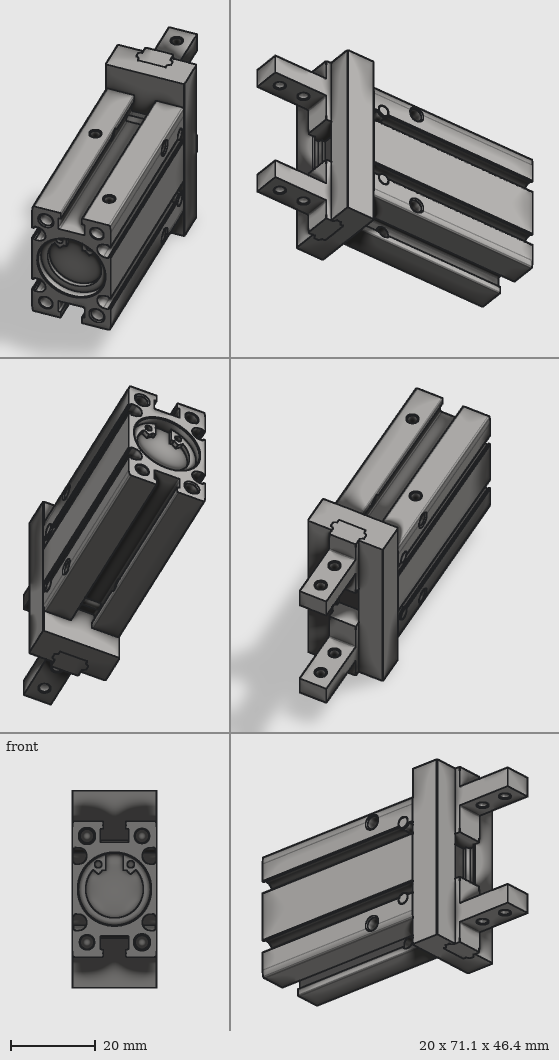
import cadquery as cq
import math


WIDTH = 20.0
BODY_HEIGHT = 32.0
BODY_LENGTH = 46.85
SIDE_FLAT_HALF_HEIGHT = 14.1
SIDE_CURVE_INSET = 0.3
EDGE_RADIUS = 0.4

SLOT_NECK_WIDTH = 5.3
SLOT_WIDTH = 6.7
SLOT_NECK_DEPTH = 1.8
SLOT_DEPTH = 5.0
SLOT_CORNER_RADIUS = 0.35
SLOT_MOUTH_RADIUS = 0.3

GROOVE_HEIGHT = 4.0
GROOVE_FLOOR_X = 6.55
GROOVE_FLARE_X = 8.0
GROOVE_FLARE_HEIGHT = 3.8
GROOVE_Z = 7.8
GROOVE_LIP_THICKNESS = 0.4
GROOVE_LIP_CHAMFER = 0.35
GROOVE_MOUTH_HEIGHT = 3.0
GROOVE_MOUTH_CHAMFER = 0.15

BORE_DIAMETER = 17.0
BORE_CHAMFER = 0.2
RING_INNER_DIAMETER = 13.6
RING_SETBACK = 2.0
RING_THICKNESS = 1.2
RING_GAP_WIDTH = 4.05
LUG_SHOULDER_X = 2.8
LUG_BOTTOM_Z = 4.5
LUG_TIP_X = 3.8
LUG_TIP_Z = 3.5
LUG_ROOT_ANGLE = 42.0
LUG_HOLE_X = 3.85
LUG_HOLE_Z = 5.8
LUG_HOLE_DIAMETER = 1.7

REAR_HOLE_X = 6.5
REAR_HOLE_Z = 12.5
REAR_HOLE_DEPTH = 6.4
THREAD_DIAMETER = 3.3
THREAD_MOUTH_DIAMETER = 4.0
LOCATING_DIAMETER = 3.3
LOCATING_MOUTH_DIAMETER = 3.55
CROSS_HOLE_Y = 34.3
CROSS_HOLE_Z = 13.45
PORT_X = 6.0
PORT_REAR_Y = 9.1
PORT_FRONT_Y = 30.3
PORT_DEPTH = 5.0
SMALL_THREAD_DIAMETER = 2.5
SMALL_THREAD_MOUTH_DIAMETER = 3.0

PIN_DIAMETER = 3.0
PIN_Y = 44.0
PIN_Z = 10.0
PIN_TAPER_LENGTH = 0.4
PIN_TAPER_DEPTH = 0.15

PLATE_THICKNESS = 7.8
PLATE_HEIGHT = 46.4
PLATE_CHAMFER = 0.2

TOTAL_LENGTH = 71.1
FINGER_WIDTH = 7.1
FINGER_THICKNESS = 5.0
FINGER_Z = 15.4
FINGER_FILLET = 0.2
FINGER_HOLE_COUNT = 2
FINGER_HOLE_PITCH = 7.0
FINGER_HOLE_END_DISTANCE = 4.0
RAIL_INNER_Z = 5.9
RAIL_PROUD = 1.4
RAIL_DEPTH = 3.6
RAIL_NOTCH = 0.2
RAIL_NOTCH_LENGTH = 0.9
WING_SPAN = 8.8
WING_DEPTH = 1.7
WING_ROOT_HEIGHT = 2.1
WING_TIP_HEIGHT = 1.1
WING_CLEARANCE = 0.1

HALF_WIDTH = WIDTH / 2
HALF_BODY_HEIGHT = BODY_HEIGHT / 2
PLATE_FRONT_Y = BODY_LENGTH + PLATE_THICKNESS
RAIL_FRONT_Y = PLATE_FRONT_Y + RAIL_PROUD
BORE_FLOOR_Y = RING_SETBACK + RING_THICKNESS

SIGNS = (-1, 1)
SELECTION_MARGIN = 0.1


def rear_plane(y=0.0):
    """Sketch plane facing +Y at the given Y, with X to the left and Z up."""
    return cq.Workplane(cq.Plane((0, y, 0), xDir=(-1, 0, 0), normal=(0, 1, 0)))


def box_between(x_range, y_range, z_range):
    size = [high - low for low, high in (x_range, y_range, z_range)]
    return cq.Workplane(cq.Solid.makeBox(*size, cq.Vector(x_range[0], y_range[0], z_range[0])))


def rod(diameter, length, start, direction):
    return cq.Workplane(
        cq.Solid.makeCylinder(diameter / 2, length, cq.Vector(*start), cq.Vector(*direction))
    )


def countersunk_hole(diameter, mouth_diameter, depth, start, direction):
    """Cutter for a hole with a 45 degree chamfer at its mouth."""
    chamfer_depth = (mouth_diameter - diameter) / 2
    mouth = cq.Solid.makeCone(
        mouth_diameter / 2, diameter / 2, chamfer_depth, cq.Vector(*start), cq.Vector(*direction)
    )
    return rod(diameter, depth, start, direction).union(cq.Workplane(mouth))


def body_extrusion():
    """Bar whose sides curve slightly inward towards the top and bottom faces."""
    end_x = HALF_WIDTH - SIDE_CURVE_INSET
    quarter = (
        rear_plane()
        .moveTo(HALF_WIDTH, 0)
        .lineTo(HALF_WIDTH, SIDE_FLAT_HALF_HEIGHT)
        .tangentArcPoint((end_x, HALF_BODY_HEIGHT), relative=False)
        .lineTo(0, HALF_BODY_HEIGHT)
        .lineTo(0, 0)
        .close()
        .extrude(BODY_LENGTH)
    )
    half = quarter.union(quarter.mirror("XY"))
    bar = half.union(half.mirror("YZ")).clean()
    return bar.faces(">Z or <Z").edges("|Y").fillet(EDGE_RADIUS)


def cut_t_slot(body, side):
    """T-slot along the top (side = 1) or bottom (side = -1) face."""
    y_range = (0, BODY_LENGTH)
    floor_z = HALF_BODY_HEIGHT - SLOT_DEPTH
    step_z = HALF_BODY_HEIGHT - SLOT_NECK_DEPTH
    undercut = box_between((-SLOT_WIDTH / 2, SLOT_WIDTH / 2), y_range, (floor_z, step_z))
    undercut = undercut.edges("|Y").fillet(SLOT_CORNER_RADIUS)
    mouth_x = SLOT_NECK_WIDTH / 2
    neck = box_between((-mouth_x, mouth_x), y_range, (floor_z, HALF_BODY_HEIGHT))
    slot = undercut.union(neck)
    if side < 0:
        slot = slot.mirror("XY")
    body = body.cut(slot)
    mouth_z = side * HALF_BODY_HEIGHT
    near_mouth = cq.selectors.BoxSelector(
        (-mouth_x - SELECTION_MARGIN, 0, mouth_z - SELECTION_MARGIN),
        (mouth_x + SELECTION_MARGIN, BODY_LENGTH, mouth_z + SELECTION_MARGIN),
    )
    return body.edges("|Y").edges(near_mouth).fillet(SLOT_MOUTH_RADIUS)


def sensor_groove(x_side, z_side):
    """Cutter for a groove with a round floor, flared walls and a narrower, chamfered mouth."""
    half_height = GROOVE_HEIGHT / 2
    flare_half = GROOVE_FLARE_HEIGHT / 2
    lip_x = HALF_WIDTH - GROOVE_LIP_THICKNESS
    chamfer_x = HALF_WIDTH - GROOVE_MOUTH_CHAMFER
    mouth_half = GROOVE_MOUTH_HEIGHT / 2
    rim_half = mouth_half + GROOVE_MOUTH_CHAMFER
    walls = [
        (lip_x - GROOVE_LIP_CHAMFER, half_height),
        (lip_x, half_height - GROOVE_LIP_CHAMFER),
        (lip_x, mouth_half),
        (chamfer_x, mouth_half),
        (HALF_WIDTH, rim_half),
    ]
    lower_walls = [(x, -z) for x, z in reversed(walls)]
    groove = (
        cq.Workplane("XZ")
        .moveTo(GROOVE_FLARE_X, -flare_half)
        .threePointArc((GROOVE_FLOOR_X, 0), (GROOVE_FLARE_X, flare_half))
    )
    for point in walls + lower_walls:
        groove = groove.lineTo(*point)
    groove = groove.close().extrude(-BODY_LENGTH).translate((0, 0, z_side * GROOVE_Z))
    if x_side < 0:
        groove = groove.mirror("YZ")
    return groove


def retaining_ring():
    """Internal retaining ring with a gap at the top and a drilled lug on each side of it."""
    ring = rear_plane(RING_SETBACK).circle(BORE_DIAMETER / 2).circle(RING_INNER_DIAMETER / 2)
    ring = ring.extrude(RING_THICKNESS)
    disc = rear_plane(RING_SETBACK).circle(BORE_DIAMETER / 2).extrude(RING_THICKNESS)
    ring_radius = RING_INNER_DIAMETER / 2
    root_angle = math.radians(LUG_ROOT_ANGLE)
    gap_x = RING_GAP_WIDTH / 2
    for side in SIGNS:
        outline = [
            (side * gap_x, LUG_BOTTOM_Z),
            (side * LUG_SHOULDER_X, LUG_BOTTOM_Z),
            (side * LUG_TIP_X, LUG_TIP_Z),
            (side * ring_radius * math.cos(root_angle), ring_radius * math.sin(root_angle)),
            (side * BORE_DIAMETER / 2, BORE_DIAMETER / 2),
            (side * gap_x, BORE_DIAMETER / 2),
        ]
        lug = rear_plane(RING_SETBACK).polyline(outline).close().extrude(RING_THICKNESS)
        ring = ring.union(lug.intersect(disc))
    gap = box_between((-gap_x, gap_x), (RING_SETBACK, BORE_FLOOR_Y), (0, BORE_DIAMETER / 2))
    ring = ring.cut(gap)
    for side in SIGNS:
        start = (side * LUG_HOLE_X, RING_SETBACK, LUG_HOLE_Z)
        ring = ring.cut(rod(LUG_HOLE_DIAMETER, RING_THICKNESS, start, (0, 1, 0)))
    return ring


def rail_bar(z_low, z_high, wing_clearance=0.0):
    """Guide rail along Z: a rectangular bar with a trapezoidal wing on each side."""
    root_half = WING_ROOT_HEIGHT / 2 + wing_clearance
    tip_half = WING_TIP_HEIGHT / 2 + wing_clearance
    half = FINGER_WIDTH / 2
    tip = WING_SPAN / 2
    wing_y = PLATE_FRONT_Y - WING_DEPTH
    right_side = [
        (half, RAIL_FRONT_Y),
        (half, wing_y + root_half),
        (tip, wing_y + tip_half),
        (tip, wing_y - tip_half),
        (half, wing_y - root_half),
        (half, PLATE_FRONT_Y - RAIL_DEPTH),
    ]
    left_side = [(-x, y) for x, y in reversed(right_side)]
    sketch = cq.Workplane("XY", origin=(0, 0, z_low)).polyline(right_side + left_side).close()
    return sketch.extrude(z_high - z_low)


def guide_plate():
    half_height = PLATE_HEIGHT / 2
    plate = box_between(
        (-HALF_WIDTH, HALF_WIDTH), (BODY_LENGTH, PLATE_FRONT_Y), (-half_height, half_height)
    )
    plate = plate.edges("|Z").chamfer(PLATE_CHAMFER)
    return plate.cut(rail_bar(-half_height, half_height, WING_CLEARANCE))


def cut_rear_bore(body):
    mouth_diameter = BORE_DIAMETER + 2 * BORE_CHAMFER
    return body.cut(
        countersunk_hole(BORE_DIAMETER, mouth_diameter, BORE_FLOOR_Y, (0, 0, 0), (0, 1, 0))
    )


def cut_rear_hole(body, x_side, z_side):
    """Threaded holes lie on one diagonal of the rear face and locating holes on the other."""
    if x_side == z_side:
        diameter, mouth_diameter = LOCATING_DIAMETER, LOCATING_MOUTH_DIAMETER
    else:
        diameter, mouth_diameter = THREAD_DIAMETER, THREAD_MOUTH_DIAMETER
    start = (x_side * REAR_HOLE_X, 0, z_side * REAR_HOLE_Z)
    return body.cut(countersunk_hole(diameter, mouth_diameter, REAR_HOLE_DEPTH, start, (0, 1, 0)))


def cut_cross_hole(body, x_side, z_side):
    """Half of a hole through the full width, from one side to the middle."""
    start = (x_side * HALF_WIDTH, CROSS_HOLE_Y, z_side * CROSS_HOLE_Z)
    direction = (-x_side, 0, 0)
    return body.cut(
        countersunk_hole(THREAD_DIAMETER, THREAD_MOUTH_DIAMETER, HALF_WIDTH, start, direction)
    )


def cut_port(body, x, y):
    start = (x, y, HALF_BODY_HEIGHT)
    return body.cut(
        countersunk_hole(
            SMALL_THREAD_DIAMETER, SMALL_THREAD_MOUTH_DIAMETER, PORT_DEPTH, start, (0, 0, -1)
        )
    )


def add_cross_pin(body, z_side):
    """Pin across the full width, with slightly tapered ends flush with the sides."""
    pin = rod(PIN_DIAMETER, WIDTH, (-HALF_WIDTH, PIN_Y, z_side * PIN_Z), (1, 0, 0))
    tapered_pin = pin.faces("<X or >X").chamfer(PIN_TAPER_LENGTH, PIN_TAPER_DEPTH)
    return body.cut(pin).union(tapered_pin)


def make_housing():
    body = body_extrusion()
    for side in SIGNS:
        body = cut_t_slot(body, side)
    for x_side in SIGNS:
        for z_side in SIGNS:
            body = body.cut(sensor_groove(x_side, z_side))
            body = cut_rear_hole(body, x_side, z_side)
            body = cut_cross_hole(body, x_side, z_side)
    body = cut_rear_bore(body)
    body = cut_port(body, -PORT_X, PORT_FRONT_Y)
    body = cut_port(body, PORT_X, PORT_REAR_Y)
    for side in SIGNS:
        body = add_cross_pin(body, side)
    return body.union(retaining_ring()).union(guide_plate())


def bevel_rail_corners(finger):
    """Short bevels at both ends of the two front edges of the upper rail."""
    half = FINGER_WIDTH / 2
    for z_low in (RAIL_INNER_Z, PLATE_HEIGHT / 2 - RAIL_NOTCH_LENGTH):
        for x_side in SIGNS:
            corner = [
                (x_side * half, RAIL_FRONT_Y),
                (x_side * (half - RAIL_NOTCH), RAIL_FRONT_Y),
                (x_side * half, RAIL_FRONT_Y - RAIL_NOTCH),
            ]
            sketch = cq.Workplane("XY", origin=(0, 0, z_low)).polyline(corner).close()
            finger = finger.cut(sketch.extrude(RAIL_NOTCH_LENGTH))
    return finger


def make_finger(side):
    """Upper (side = 1) or lower (side = -1) finger with its rail."""
    rail = rail_bar(RAIL_INNER_Z, PLATE_HEIGHT / 2)
    blade = box_between(
        (-FINGER_WIDTH / 2, FINGER_WIDTH / 2),
        (PLATE_FRONT_Y, TOTAL_LENGTH),
        (FINGER_Z - FINGER_THICKNESS / 2, FINGER_Z + FINGER_THICKNESS / 2),
    )
    finger = rail.union(blade)
    root = cq.selectors.BoxSelector(
        (-FINGER_WIDTH, RAIL_FRONT_Y - SELECTION_MARGIN, FINGER_Z - FINGER_THICKNESS),
        (FINGER_WIDTH, RAIL_FRONT_Y + SELECTION_MARGIN, FINGER_Z + FINGER_THICKNESS),
    )
    finger = finger.edges("|X").edges(root).fillet(FINGER_FILLET)
    for hole in range(FINGER_HOLE_COUNT):
        y = TOTAL_LENGTH - FINGER_HOLE_END_DISTANCE - hole * FINGER_HOLE_PITCH
        for face in SIGNS:
            start = (0, y, FINGER_Z + face * FINGER_THICKNESS / 2)
            cutter = countersunk_hole(
                SMALL_THREAD_DIAMETER, SMALL_THREAD_MOUTH_DIAMETER, FINGER_THICKNESS / 2,
                start, (0, 0, -face),
            )
            finger = finger.cut(cutter)
    finger = bevel_rail_corners(finger)
    if side < 0:
        finger = finger.mirror("XY")
    return finger


housing = make_housing()
fingers = [make_finger(side) for side in SIGNS]

result = cq.Compound.makeCompound([housing.val(), *[finger.val() for finger in fingers]])